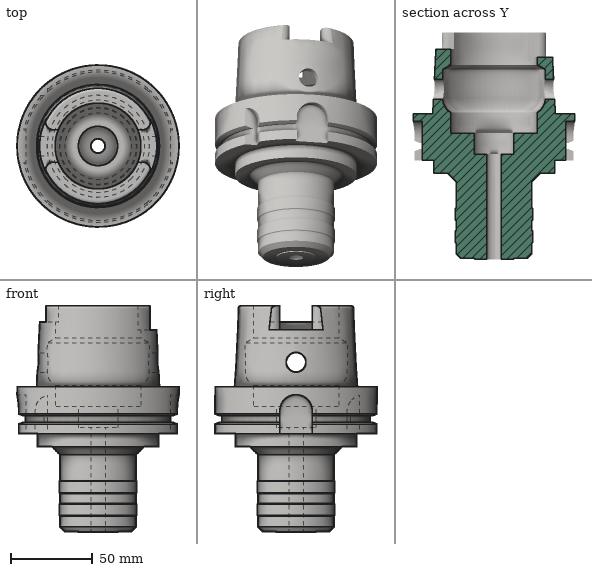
import cadquery as cq
import math


shank_height = 50.0
shank_base_radius = 38.0
taper_slope = 0.05
shank_rim_fillet = 2.0

mouth_radius = 26.5
undercut_radius = 31.5
shoulder_top_z = 30.0
shoulder_angle = 30.0
undercut_bottom_z = 9.4
undercut_rounding = 10.0
bore_floor_z = -12.0
coolant_radius = 12.15
coolant_floor_z = -25.0
axial_hole_radius = 4.35

drive_slot_width = 20.0
drive_slot_depth_minus_x = 10.0
drive_slot_depth_plus_x = 15.0
lug_half_width = 32.2
lug_corner_radius = 4.5

cross_hole_diameter = 12.0
cross_hole_z = 15.0

flange_radius = 50.0
flange_bottom_z = -29.0
groove_radius = 45.95
groove_center_z = -20.0
groove_floor_width = 3.75
groove_chamfer_height = 1.25
groove_chamfer_depth = 3.0

keyway_radius = 10.0
keyway_center_z = -15.0
keyway_floor_x = 44.5
notch_corner = 31.4

collar_radius = 37.5
collar_bottom_z = -37.0
cone_top_radius = 28.5
spigot_top_z = -42.0
spigot_radius = 23.5
end_pad_radius = 12.2
end_pad_height = 0.5
end_pad_bottom_z = -90.0
spigot_bottom_z = end_pad_bottom_z + end_pad_height
spigot_chamfer = 3.0
band_radius = 24.0
band_height = 8.0
band_chamfer = band_radius - spigot_radius
band_top_levels = (-58.0, -72.0)


def cylinder(radius, bottom_z, top_z):
    return cq.Workplane("XY").workplane(offset=bottom_z).circle(radius).extrude(top_z - bottom_z)


def revolve_profile(points):
    """Revolve a closed (radius, z) outline about the Z axis."""
    return cq.Workplane("XZ").polyline(points).close().revolve(360, (0, 0, 0), (0, 1, 0))


def make_shank():
    top_radius = shank_base_radius - taper_slope * shank_height
    shank = revolve_profile([
        (0, 0),
        (shank_base_radius, 0),
        (top_radius, shank_height),
        (0, shank_height),
    ])
    return shank.faces(">Z").edges().fillet(shank_rim_fillet)


def make_flange():
    floor_top = groove_center_z + groove_floor_width / 2
    floor_bottom = groove_center_z - groove_floor_width / 2
    return revolve_profile([
        (0, 0),
        (flange_radius, 0),
        (flange_radius, floor_top + groove_chamfer_height),
        (flange_radius - groove_chamfer_depth, floor_top),
        (groove_radius, floor_top),
        (groove_radius, floor_bottom),
        (flange_radius - groove_chamfer_depth, floor_bottom),
        (flange_radius, floor_bottom - groove_chamfer_height),
        (flange_radius, flange_bottom_z),
        (0, flange_bottom_z),
    ])


def make_band(top_z):
    """Raised ring around the spigot whose edges slope down to the spigot surface."""
    bottom_z = top_z - band_height
    return revolve_profile([
        (0, top_z),
        (spigot_radius, top_z),
        (band_radius, top_z - band_chamfer),
        (band_radius, bottom_z + band_chamfer),
        (spigot_radius, bottom_z),
        (0, bottom_z),
    ])


def make_spigot():
    spigot = revolve_profile([
        (0, flange_bottom_z),
        (collar_radius, flange_bottom_z),
        (collar_radius, collar_bottom_z),
        (cone_top_radius, collar_bottom_z),
        (spigot_radius, spigot_top_z),
        (spigot_radius, spigot_bottom_z + spigot_chamfer),
        (spigot_radius - spigot_chamfer, spigot_bottom_z),
        (end_pad_radius, spigot_bottom_z),
        (end_pad_radius, end_pad_bottom_z),
        (0, end_pad_bottom_z),
    ])
    for band_top in band_top_levels:
        spigot = spigot.union(make_band(band_top))
    return spigot


def make_bore():
    shoulder_height = (undercut_radius - mouth_radius) * math.tan(math.radians(shoulder_angle))
    rounding_center = undercut_radius - undercut_rounding
    rounding_end = math.acos((mouth_radius - rounding_center) / undercut_rounding)
    rounding_end_z = undercut_bottom_z - undercut_rounding * math.sin(rounding_end)
    rounding_mid = (
        rounding_center + undercut_rounding * math.cos(rounding_end / 2),
        undercut_bottom_z - undercut_rounding * math.sin(rounding_end / 2),
    )
    bore = (
        cq.Workplane("XZ")
        .moveTo(0, bore_floor_z)
        .lineTo(mouth_radius, bore_floor_z)
        .lineTo(mouth_radius, rounding_end_z)
        .threePointArc(rounding_mid, (undercut_radius, undercut_bottom_z))
        .lineTo(undercut_radius, shoulder_top_z - shoulder_height)
        .lineTo(mouth_radius, shoulder_top_z)
        .lineTo(mouth_radius, shank_height)
        .lineTo(0, shank_height)
        .close()
        .revolve(360, (0, 0, 0), (0, 1, 0))
    )
    coolant_bore = cylinder(coolant_radius, coolant_floor_z, bore_floor_z)
    axial_hole = cylinder(axial_hole_radius, end_pad_bottom_z, bore_floor_z)
    return bore.union(coolant_bore).union(axial_hole)


def make_drive_slot(side, depth):
    """Slot through one shank wall, flaring around the rounded lug corners; side is +1 or -1 along X."""
    half_width = drive_slot_width / 2
    outer_x = side * shank_base_radius
    lug_x = side * lug_half_width
    corner_x = side * (lug_half_width - lug_corner_radius)
    corner_y = half_width + lug_corner_radius
    bend = lug_corner_radius * math.sin(math.radians(45))
    bend_x = corner_x + side * bend
    bend_y = corner_y - bend
    return (
        cq.Workplane("XY").workplane(offset=shank_height - depth)
        .moveTo(0, -half_width)
        .lineTo(corner_x, -half_width)
        .threePointArc((bend_x, -bend_y), (lug_x, -corner_y))
        .lineTo(lug_x, -shank_base_radius)
        .lineTo(outer_x, -shank_base_radius)
        .lineTo(outer_x, shank_base_radius)
        .lineTo(lug_x, shank_base_radius)
        .lineTo(lug_x, corner_y)
        .threePointArc((bend_x, bend_y), (corner_x, half_width))
        .lineTo(0, half_width)
        .close()
        .extrude(depth)
    )


def make_keyway(side, floor_x, center_y):
    """Round-topped keyway cut along X from the flange rim to a flat floor; side is +1 or -1."""
    depth = flange_radius - floor_x
    keyway = (
        cq.Workplane("YZ").workplane(offset=floor_x)
        .moveTo(center_y - keyway_radius, flange_bottom_z)
        .lineTo(center_y - keyway_radius, keyway_center_z)
        .threePointArc(
            (center_y, keyway_center_z + keyway_radius),
            (center_y + keyway_radius, keyway_center_z),
        )
        .lineTo(center_y + keyway_radius, flange_bottom_z)
        .close()
        .extrude(depth)
    )
    if side < 0:
        keyway = keyway.mirror("YZ")
    return keyway


def make_cross_hole():
    return (
        cq.Workplane("YZ").workplane(offset=-shank_base_radius)
        .center(0, cross_hole_z)
        .circle(cross_hole_diameter / 2)
        .extrude(2 * shank_base_radius)
    )


result = make_shank().union(make_flange()).union(make_spigot())
result = result.cut(make_bore())
result = result.cut(make_drive_slot(-1, drive_slot_depth_minus_x))
result = result.cut(make_drive_slot(1, drive_slot_depth_plus_x))
result = result.cut(make_cross_hole())
for keyway_side in (-1, 1):
    result = result.cut(make_keyway(keyway_side, keyway_floor_x, 0))
result = result.cut(make_keyway(-1, notch_corner, notch_corner + keyway_radius))